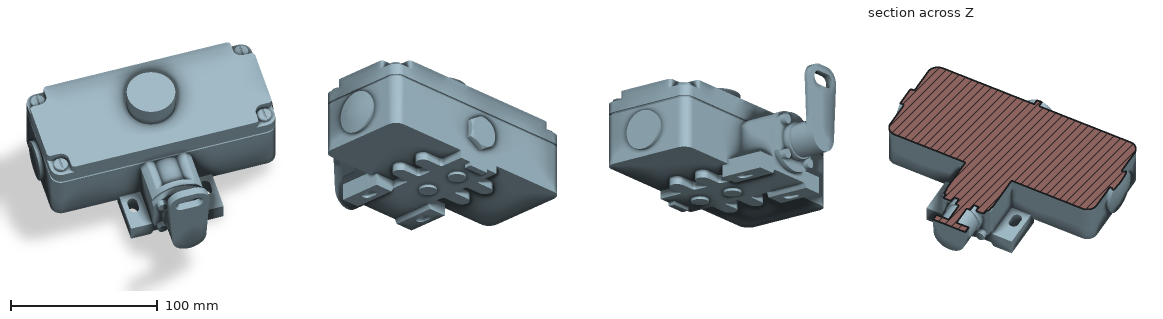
import cadquery as cq
import math

BOX_LENGTH_X = 70.0
BOX_LENGTH_Y = 160.0
BOX_CORNER_RADIUS = 7.5
BODY_HEIGHT = 36.0
SEAL_HEIGHT = 1.5
SEAL_INSET = 1.0
LID_HEIGHT = 13.9
BOX_HEIGHT = BODY_HEIGHT + SEAL_HEIGHT + LID_HEIGHT

SCREW_INSET = 7.5
RECESS_SIZE = 13.4
RECESS_DEPTH = 6.2
RECESS_INNER_RADIUS = 5.8
RECESS_EXIT_RADIUS = 2.4
LID_SCREW_DIAMETER = 10.0
LID_SCREW_HEIGHT = 3.0
LID_SCREW_EDGE_RADIUS = 1.0
DRIVER_SLOT_WIDTH = 1.4
DRIVER_SLOT_DEPTH = 1.0

BUTTON_DIAMETER = 33.2
BUTTON_HEIGHT = 14.7

AXIS_Z = 18.2

FRONT_PLUG_DIAMETER = 27.8
FRONT_PLUG_THICKNESS = 3.0
REAR_NECK_DIAMETER = 29.0
REAR_NECK_LENGTH = 1.9
REAR_FLANGE_DIAMETER = 30.3
REAR_FLANGE_THICKNESS = 1.4
REAR_DOME_HEIGHT = 2.48
NUT_ACROSS_FLATS = 22.0
NUT_THICKNESS = 5.15
NUT_FACE_DIAMETER = 21.4
NUT_CONE_LAND = 0.005

FOOT_HEIGHT = 5.75
FOOT_WIDTH_Y = 34.0
RIB_SPACING = 22.0
RIB_WIDTH = 10.3
RIB_REACH_Y = 35.0
RIB_FILLET = 2.0
FOOT_BUTTON_SPACING = 28.0
FOOT_BUTTON_DIAMETER = 12.3
FOOT_BUTTON_HEIGHT = 2.0
TONGUE_LENGTH_X = 5.2
TONGUE_WIDTH_Y = 15.8
TONGUE_HEIGHT = 2.6

BRACKET_X_MIN = 30.6
BRACKET_X_MAX = 62.9
BRACKET_WIDTH_Y = 66.0
BRACKET_Z_MIN = -8.75
BRACKET_Z_MAX = 3.05
BRACKET_GAP_TOP = FOOT_WIDTH_Y
BRACKET_GAP_BOTTOM = 37.6
MOUNT_SLOT_LENGTH = 11.5
MOUNT_SLOT_WIDTH = 6.9
MOUNT_SLOT_X = 44.6
MOUNT_SLOT_Y = 26.0

HOUSING_RADIUS = 22.5
HOUSING_WIDTH_Y = 36.0
HOUSING_X_MIN = BOX_LENGTH_X / 2
HOUSING_X_MAX = BRACKET_X_MAX
POCKET_X_MAX = 58.7
POCKET_WIDTH_Y = 28.2
CORE_RADIUS = 11.5
CORE_RISE = 5.5
BOSS_RADIUS = 5.4

FLANGE_RADIUS = 21.0
FLANGE_WIDTH_Y = 36.4
FLANGE_THICKNESS = 4.1
FLANGE_SCREW_OFFSET = 12.6
FLANGE_SCREW_DIAMETER = 6.8
FLANGE_SCREW_HEIGHT = 4.0

COLLAR_RADIUS = 13.0
COLLAR_LENGTH = 5.1
SHAFT_RADIUS = 12.0
LEVER_X_MAX = 91.85
LEVER_THICKNESS = 5.3
LEVER_TOP_Z = 68.25
LEVER_TOP_HALF_WIDTH = 14.3
LEVER_CORNER_RADIUS = 10.0
LEVER_SLOT_LENGTH = 20.0
LEVER_SLOT_WIDTH = 9.8


def block(x_min, x_max, width_y, z_min, z_max):
    """Box between two X and two Z levels, centred on Y."""
    return cq.Workplane("XY").box(
        x_max - x_min, width_y, z_max - z_min, centered=(False, True, False)
    ).translate((x_min, 0, z_min))


def rod_x(x_min, x_max, radius, y=0, z=AXIS_Z):
    """Cylinder parallel to X."""
    return cq.Workplane("YZ", origin=(x_min, y, z)).circle(radius).extrude(x_max - x_min)


def rounded_box(inset, z_min, height):
    """Layer of the box, drawn in from its outline by the inset."""
    return (
        cq.Workplane("XY", origin=(0, 0, z_min))
        .rect(BOX_LENGTH_X - 2 * inset, BOX_LENGTH_Y - 2 * inset)
        .extrude(height)
        .edges("|Z")
        .fillet(BOX_CORNER_RADIUS - inset)
    )


def corner_recess():
    """Cutter for the lid recess at the +X +Y corner, with flared exits."""
    edge_x = BOX_LENGTH_X / 2
    edge_y = BOX_LENGTH_Y / 2
    wall_x = edge_x - RECESS_SIZE
    wall_y = edge_y - RECESS_SIZE
    inner = RECESS_INNER_RADIUS
    flare = RECESS_EXIT_RADIUS
    arc_middle = inner * (1 - math.sqrt(0.5))
    flare_middle = flare * (1 - math.sqrt(0.5))
    return (
        cq.Workplane("XY", origin=(0, 0, BOX_HEIGHT - RECESS_DEPTH))
        .moveTo(edge_x, edge_y)
        .lineTo(wall_x - flare, edge_y)
        .threePointArc((wall_x - flare_middle, edge_y - flare_middle), (wall_x, edge_y - flare))
        .lineTo(wall_x, wall_y + inner)
        .threePointArc((wall_x + arc_middle, wall_y + arc_middle), (wall_x + inner, wall_y))
        .lineTo(edge_x - flare, wall_y)
        .threePointArc((edge_x - flare_middle, wall_y - flare_middle), (edge_x, wall_y - flare))
        .close()
        .extrude(RECESS_DEPTH)
    )


def lid_screw():
    """Slotted screw head standing on the floor of the +X +Y recess."""
    x = BOX_LENGTH_X / 2 - SCREW_INSET
    y = BOX_LENGTH_Y / 2 - SCREW_INSET
    floor_z = BOX_HEIGHT - RECESS_DEPTH
    top_z = floor_z + LID_SCREW_HEIGHT
    head = (
        cq.Workplane("XY", origin=(x, y, floor_z))
        .circle(LID_SCREW_DIAMETER / 2)
        .extrude(LID_SCREW_HEIGHT)
        .faces(">Z")
        .edges()
        .fillet(LID_SCREW_EDGE_RADIUS)
    )
    slot = (
        cq.Workplane("XY", origin=(x, y, top_z))
        .rect(LID_SCREW_DIAMETER, DRIVER_SLOT_WIDTH)
        .extrude(-DRIVER_SLOT_DEPTH)
    )
    return head.cut(slot)


def at_four_corners(shape):
    """The shape and its mirror images at the other three box corners."""
    pair = shape.union(shape.mirror("YZ"))
    return pair.union(pair.mirror("XZ"))


def make_box():
    """Body, recessed seal line, lid with screws, and the lid button."""
    body = rounded_box(0, 0, BODY_HEIGHT)
    seal = rounded_box(SEAL_INSET, BODY_HEIGHT, SEAL_HEIGHT)
    lid = rounded_box(0, BODY_HEIGHT + SEAL_HEIGHT, LID_HEIGHT)
    lid = lid.cut(at_four_corners(corner_recess())).union(at_four_corners(lid_screw()))
    button = (
        cq.Workplane("XY", origin=(0, 0, BOX_HEIGHT))
        .circle(BUTTON_DIAMETER / 2)
        .extrude(BUTTON_HEIGHT)
    )
    return body.union(seal).union(lid).union(button)


def make_front_plug():
    """Flat round plug on the -Y end of the box."""
    return (
        cq.Workplane("XZ", origin=(0, -BOX_LENGTH_Y / 2, AXIS_Z))
        .circle(FRONT_PLUG_DIAMETER / 2)
        .extrude(FRONT_PLUG_THICKNESS)
    )


def make_rear_plug():
    """Domed plug on the +Y end of the box, turned about its own axis."""
    neck_radius = REAR_NECK_DIAMETER / 2
    flange_radius = REAR_FLANGE_DIAMETER / 2
    flange_start = REAR_NECK_LENGTH
    flange_end = flange_start + REAR_FLANGE_THICKNESS
    dome_end = flange_end + REAR_DOME_HEIGHT
    dome_radius = (flange_radius**2 + REAR_DOME_HEIGHT**2) / (2 * REAR_DOME_HEIGHT)
    middle_radius = flange_radius / 2
    middle_y = dome_end - dome_radius + math.sqrt(dome_radius**2 - middle_radius**2)
    return (
        cq.Workplane("XY")
        .lineTo(neck_radius, 0)
        .lineTo(neck_radius, flange_start)
        .lineTo(flange_radius, flange_start)
        .lineTo(flange_radius, flange_end)
        .threePointArc((middle_radius, middle_y), (0, dome_end))
        .close()
        .revolve(360, (0, 0, 0), (0, 1, 0))
        .translate((0, BOX_LENGTH_Y / 2, AXIS_Z))
    )


def make_nut():
    """Hexagon nut on the -X side, points up and down, corners turned off at 45 degrees."""
    corner_diameter = NUT_ACROSS_FLATS / math.cos(math.pi / 6)
    face_x = -BOX_LENGTH_X / 2 - NUT_THICKNESS
    hexagon = (
        cq.Workplane("YZ", origin=(face_x, 0, AXIS_Z))
        .transformed(rotate=(0, 0, 90))
        .polygon(6, corner_diameter)
        .extrude(NUT_THICKNESS)
    )
    cone = (
        cq.Workplane("YZ", origin=(face_x, 0, AXIS_Z))
        .circle(NUT_FACE_DIAMETER / 2 + NUT_THICKNESS - NUT_CONE_LAND)
        .extrude(NUT_THICKNESS)
        .faces("<X")
        .chamfer(NUT_THICKNESS - NUT_CONE_LAND)
    )
    return hexagon.intersect(cone)


def make_foot():
    """Block under the box, with round-ended ribs, a tongue and two round buttons."""
    foot = block(-BOX_LENGTH_X / 2, BRACKET_X_MIN, FOOT_WIDTH_Y, -FOOT_HEIGHT, 0)
    for side in (-1, 1):
        rib_x = side * RIB_SPACING / 2
        rib = (
            cq.Workplane("XY", origin=(rib_x, 0, -FOOT_HEIGHT))
            .slot2D(2 * RIB_REACH_Y, RIB_WIDTH, 90)
            .extrude(FOOT_HEIGHT)
        )
        foot = foot.union(rib)
    root_y = FOOT_WIDTH_Y / 2
    root_box = cq.selectors.BoxSelector(
        (-RIB_SPACING, -root_y - RIB_FILLET, -FOOT_HEIGHT),
        (RIB_SPACING, root_y + RIB_FILLET, 0),
    )
    foot = foot.edges("|Z").edges(root_box).fillet(RIB_FILLET)

    tongue_x = -BOX_LENGTH_X / 2
    tongue = block(
        tongue_x, tongue_x + TONGUE_LENGTH_X, TONGUE_WIDTH_Y, -FOOT_HEIGHT - TONGUE_HEIGHT, -FOOT_HEIGHT
    )
    buttons = (
        cq.Workplane("XY", origin=(0, 0, -FOOT_HEIGHT))
        .pushPoints([(-FOOT_BUTTON_SPACING / 2, 0), (FOOT_BUTTON_SPACING / 2, 0)])
        .circle(FOOT_BUTTON_DIAMETER / 2)
        .extrude(-FOOT_BUTTON_HEIGHT)
    )
    return foot.union(tongue).union(buttons)


def make_bracket():
    """Mounting plate with two slots and a flared gap along its underside."""
    length_x = BRACKET_X_MAX - BRACKET_X_MIN
    plate = block(BRACKET_X_MIN, BRACKET_X_MAX, BRACKET_WIDTH_Y, BRACKET_Z_MIN, BRACKET_Z_MAX)
    gap = (
        cq.Workplane("YZ", origin=(BRACKET_X_MIN, 0, 0))
        .moveTo(-BRACKET_GAP_BOTTOM / 2, BRACKET_Z_MIN)
        .lineTo(BRACKET_GAP_BOTTOM / 2, BRACKET_Z_MIN)
        .lineTo(BRACKET_GAP_TOP / 2, -FOOT_HEIGHT)
        .lineTo(-BRACKET_GAP_TOP / 2, -FOOT_HEIGHT)
        .close()
        .extrude(length_x)
    )
    slots = (
        cq.Workplane("XY", origin=(MOUNT_SLOT_X, 0, BRACKET_Z_MIN))
        .pushPoints([(0, -MOUNT_SLOT_Y), (0, MOUNT_SLOT_Y)])
        .slot2D(MOUNT_SLOT_LENGTH, MOUNT_SLOT_WIDTH)
        .extrude(BRACKET_Z_MAX - BRACKET_Z_MIN)
    )
    return plate.cut(gap).cut(slots)


def make_housing():
    """Flat-sided round housing with a top pocket that bares the core and two screw bosses."""
    top_z = AXIS_Z + HOUSING_RADIUS
    sides = block(HOUSING_X_MIN, HOUSING_X_MAX, HOUSING_WIDTH_Y, -FOOT_HEIGHT, top_z)
    housing = rod_x(HOUSING_X_MIN, HOUSING_X_MAX, HOUSING_RADIUS).intersect(sides)
    base = block(HOUSING_X_MIN, HOUSING_X_MAX, HOUSING_WIDTH_Y, 0, AXIS_Z)

    boss_z = AXIS_Z + FLANGE_SCREW_OFFSET
    pocket = block(HOUSING_X_MIN, POCKET_X_MAX, POCKET_WIDTH_Y, boss_z, top_z)
    pocket = pocket.cut(rod_x(HOUSING_X_MIN, POCKET_X_MAX, CORE_RADIUS, z=AXIS_Z + CORE_RISE))
    for y in (-FLANGE_SCREW_OFFSET, FLANGE_SCREW_OFFSET):
        boss = rod_x(HOUSING_X_MIN, POCKET_X_MAX, BOSS_RADIUS, y, boss_z)
        pocket = pocket.cut(boss)
    return housing.union(base).cut(pocket)


def make_flange():
    """End flange with flat sides and four screw heads."""
    end_x = HOUSING_X_MAX + FLANGE_THICKNESS
    sides = block(
        HOUSING_X_MAX, end_x, FLANGE_WIDTH_Y, AXIS_Z - FLANGE_RADIUS, AXIS_Z + FLANGE_RADIUS
    )
    flange = rod_x(HOUSING_X_MAX, end_x, FLANGE_RADIUS).intersect(sides)
    for y in (-FLANGE_SCREW_OFFSET, FLANGE_SCREW_OFFSET):
        for dz in (-FLANGE_SCREW_OFFSET, FLANGE_SCREW_OFFSET):
            head = rod_x(end_x, end_x + FLANGE_SCREW_HEIGHT, FLANGE_SCREW_DIAMETER / 2, y, AXIS_Z + dz)
            flange = flange.union(head)
    return flange


def make_shaft():
    """Collar and shaft between the flange and the lever."""
    start_x = HOUSING_X_MAX + FLANGE_THICKNESS
    collar = rod_x(start_x, start_x + COLLAR_LENGTH, COLLAR_RADIUS)
    return collar.union(rod_x(start_x, LEVER_X_MAX, SHAFT_RADIUS))


def make_lever():
    """Upright lever, widening from the round shaft end to a slotted top with round corners."""
    start_x = LEVER_X_MAX - LEVER_THICKNESS
    corner_y = LEVER_TOP_HALF_WIDTH - LEVER_CORNER_RADIUS
    corner_z = LEVER_TOP_Z - LEVER_CORNER_RADIUS
    rise = corner_z - AXIS_Z
    radius_change = SHAFT_RADIUS - LEVER_CORNER_RADIUS
    side_tilt = math.asin(radius_change / math.hypot(corner_y, rise)) - math.atan2(corner_y, rise)
    corner_angle = (math.pi / 2 + side_tilt) / 2

    def on_circle(center_y, center_z, radius, angle):
        return (center_y + radius * math.cos(angle), center_z + radius * math.sin(angle))

    low_y, low_z = on_circle(0, AXIS_Z, SHAFT_RADIUS, side_tilt)
    high_y, high_z = on_circle(corner_y, corner_z, LEVER_CORNER_RADIUS, side_tilt)
    mid_y, mid_z = on_circle(corner_y, corner_z, LEVER_CORNER_RADIUS, corner_angle)
    lever = (
        cq.Workplane("YZ", origin=(start_x, 0, 0))
        .moveTo(low_y, low_z)
        .lineTo(high_y, high_z)
        .threePointArc((mid_y, mid_z), (corner_y, LEVER_TOP_Z))
        .lineTo(-corner_y, LEVER_TOP_Z)
        .threePointArc((-mid_y, mid_z), (-high_y, high_z))
        .lineTo(-low_y, low_z)
        .threePointArc((0, AXIS_Z - SHAFT_RADIUS), (low_y, low_z))
        .close()
        .extrude(LEVER_THICKNESS)
    )
    slot = (
        cq.Workplane("YZ", origin=(start_x, 0, corner_z))
        .slot2D(LEVER_SLOT_LENGTH, LEVER_SLOT_WIDTH)
        .extrude(LEVER_THICKNESS)
    )
    return lever.cut(slot)


result = make_box()
for piece in (
    make_front_plug(),
    make_rear_plug(),
    make_nut(),
    make_foot(),
    make_bracket(),
    make_housing(),
    make_flange(),
    make_shaft(),
    make_lever(),
):
    result = result.union(piece)